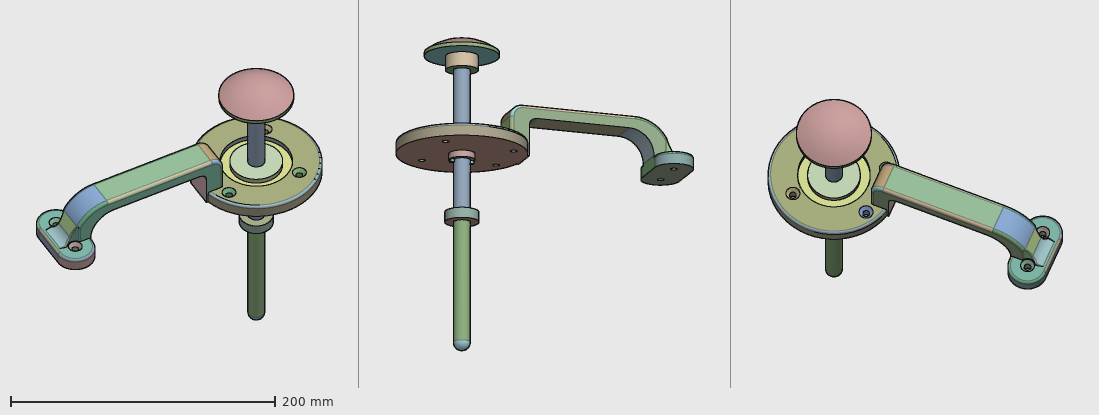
import cadquery as cq
import math

PLATE_THICKNESS = 10.0
PLATE_FILLET = 2.0
FLANGE_RADIUS = 50.0
RECESS_RADIUS = 27.5
RECESS_DEPTH = 4.0

FOOT_WIDTH = 30.0
FOOT_LENGTH = 60.0
FOOT_Y = -165.0
FOOT_HOLE_X = (FOOT_LENGTH - FOOT_WIDTH) / 2

SCREW_DIAMETER = 5.0
SCREW_HEAD_DIAMETER = 10.5
SCREW_HEAD_ANGLE = 90.0
REAR_SCREW_RADIUS = 35.0
REAR_SCREW_ANGLE = 40.0
FRONT_SCREW_RADIUS = 40.0
FRONT_SCREW_ANGLE = 60.0

HEAD_ROOM_RADIUS = 5.9
HEAD_ROOM_FILLET = 1.0

GRIP_WIDTH = 24.6
GRIP_FILLET = 2.5
GRIP_TOP = 40.0
GRIP_THICKNESS = 10.0
POST_THICKNESS = 15.0
POST_OUTER_RADIUS = 10.0
POST_INNER_RADIUS = 6.0
BEND_OUTER_RADIUS = 30.0
BEND_INNER_RADIUS = 20.0
BEND_SWEEP = 60.0
TOE_RADIUS = 11.0

BORDER_FLOOR_MARGIN = 0.1
BORDER_TOE_MARGIN = 1.0
BORDER_TOP_MARGIN = 5.0

BUSH_HEAD_RADIUS = 20.0
BUSH_HEAD_THICKNESS = 4.0
BUSH_HUB_RADIUS = 10.0
BUSH_HUB_DROP = 5.0
KEY_WIDTH = 2.5
KEY_LENGTH = 18.6
KEY_HEIGHT = 2.3

ROD_RADIUS = 6.5
ROD_BOTTOM = -155.3
COLLAR_RADIUS = 13.0
COLLAR_TOP = -46.0
COLLAR_THICKNESS = 8.0
KNOB_TOP = 89.7
KNOB_RADIUS = 28.5
KNOB_DOME_HEIGHT = 9.7
KNOB_RIM_THICKNESS = 3.0
KNOB_HUB_RADIUS = 12.5
KNOB_HUB_HEIGHT = 11.0


def cylinder(radius, bottom, height):
    return cq.Workplane("XY").workplane(offset=bottom).circle(radius).extrude(height)


def make_flange():
    return cylinder(FLANGE_RADIUS, 0, PLATE_THICKNESS).faces(">Z").edges().fillet(PLATE_FILLET)


def make_foot():
    foot = cq.Workplane("XY").center(0, FOOT_Y).slot2D(FOOT_LENGTH, FOOT_WIDTH).extrude(PLATE_THICKNESS)
    return foot.faces(">Z").edges().fillet(PLATE_FILLET)


def arc_middle(center, radius, start_angle, end_angle):
    """Point halfway along an arc given by its center, radius and end angles in degrees."""
    angle = math.radians((start_angle + end_angle) / 2)
    return (center[0] + radius * math.cos(angle), center[1] + radius * math.sin(angle))


def make_grip():
    post_back = -FLANGE_RADIUS + POST_THICKNESS
    post_front = -FLANGE_RADIUS
    leg_back = FOOT_Y + FOOT_WIDTH / 2
    leg_front = leg_back - POST_THICKNESS
    grip_under = GRIP_TOP - GRIP_THICKNESS
    bend_center = (leg_front + BEND_OUTER_RADIUS, GRIP_TOP - BEND_OUTER_RADIUS)
    inner_center = (leg_back + BEND_INNER_RADIUS, grip_under - BEND_INNER_RADIUS)

    sweep = math.radians(BEND_SWEEP)
    bend_end = (
        bend_center[0] - BEND_OUTER_RADIUS * math.sin(sweep),
        bend_center[1] + BEND_OUTER_RADIUS * math.cos(sweep),
    )

    toe_start_z = PLATE_THICKNESS + TOE_RADIUS * (1 - math.cos(sweep))
    toe_start = (bend_end[0] - (bend_end[1] - toe_start_z) / math.tan(sweep), toe_start_z)
    toe_center = (toe_start[0] - TOE_RADIUS * math.sin(sweep), PLATE_THICKNESS + TOE_RADIUS)

    post_corner = (post_back - POST_OUTER_RADIUS, GRIP_TOP - POST_OUTER_RADIUS)
    post_inner_corner = (post_front - POST_INNER_RADIUS, grip_under - POST_INNER_RADIUS)

    profile = (
        cq.Workplane("YZ", origin=(-GRIP_WIDTH / 2, 0, 0))
        .moveTo(post_back, 0)
        .lineTo(post_back, post_corner[1])
        .threePointArc(arc_middle(post_corner, POST_OUTER_RADIUS, 0, 90), (post_corner[0], GRIP_TOP))
        .lineTo(bend_center[0], GRIP_TOP)
        .threePointArc(arc_middle(bend_center, BEND_OUTER_RADIUS, 90, 90 + BEND_SWEEP), bend_end)
        .lineTo(*toe_start)
        .threePointArc(
            arc_middle(toe_center, TOE_RADIUS, 270, 270 + BEND_SWEEP), (toe_center[0], PLATE_THICKNESS)
        )
        .lineTo(toe_center[0], 0)
        .lineTo(leg_back, 0)
        .lineTo(leg_back, inner_center[1])
        .threePointArc(arc_middle(inner_center, BEND_INNER_RADIUS, 180, 90), (inner_center[0], grip_under))
        .lineTo(post_inner_corner[0], grip_under)
        .threePointArc(
            arc_middle(post_inner_corner, POST_INNER_RADIUS, 90, 0), (post_front, post_inner_corner[1])
        )
        .lineTo(post_front, 0)
        .close()
    )
    grip = profile.extrude(GRIP_WIDTH)

    head_room = (
        cq.Workplane("XY")
        .workplane(offset=PLATE_THICKNESS)
        .pushPoints([(-FOOT_HOLE_X, FOOT_Y), (FOOT_HOLE_X, FOOT_Y)])
        .circle(HEAD_ROOM_RADIUS)
        .extrude(GRIP_TOP - PLATE_THICKNESS)
    )
    grip = grip.cut(head_room)

    top_y = (post_corner[0] + bend_center[0]) / 2
    for x in (-GRIP_WIDTH / 2, GRIP_WIDTH / 2):
        grip = grip.edges(cq.NearestToPointSelector((x, top_y, GRIP_TOP))).fillet(GRIP_FILLET)

    border = cq.selectors.BoxSelector(
        (-GRIP_WIDTH, FOOT_Y + HEAD_ROOM_RADIUS, PLATE_THICKNESS + BORDER_FLOOR_MARGIN),
        (GRIP_WIDTH, toe_center[0] - BORDER_TOE_MARGIN, toe_start_z + BORDER_TOP_MARGIN),
    )
    return grip.edges(border).edges("not |X").fillet(HEAD_ROOM_FILLET)


def screw_places():
    """Mirrored pairs of screw positions: two on the rear, two on the front, two in the foot."""
    rear = math.radians(REAR_SCREW_ANGLE)
    front = math.radians(FRONT_SCREW_ANGLE)
    half = [
        (REAR_SCREW_RADIUS * math.cos(rear), REAR_SCREW_RADIUS * math.sin(rear)),
        (FRONT_SCREW_RADIUS * math.cos(front), -FRONT_SCREW_RADIUS * math.sin(front)),
        (FOOT_HOLE_X, FOOT_Y),
    ]
    return [(side * x, y) for x, y in half for side in (-1, 1)]


def make_screw_space():
    """Through hole with a countersink at the top, on the Z axis."""
    hole_radius = SCREW_DIAMETER / 2
    head_radius = SCREW_HEAD_DIAMETER / 2
    sink_depth = (head_radius - hole_radius) / math.tan(math.radians(SCREW_HEAD_ANGLE / 2))
    sink_bottom = PLATE_THICKNESS - sink_depth
    return (
        cq.Workplane("XZ")
        .polyline(
            [
                (0, 0),
                (hole_radius, 0),
                (hole_radius, sink_bottom),
                (head_radius, PLATE_THICKNESS),
                (0, PLATE_THICKNESS),
            ]
        )
        .close()
        .revolve(360, (0, 0, 0), (0, 1, 0))
    )


def make_handle():
    handle = make_flange().union(make_foot()).union(make_grip())
    handle = handle.cut(cylinder(RECESS_RADIUS, PLATE_THICKNESS - RECESS_DEPTH, RECESS_DEPTH))
    handle = handle.cut(cylinder(BUSH_HUB_RADIUS, 0, PLATE_THICKNESS))
    for x, y in screw_places():
        handle = handle.cut(make_screw_space().translate((x, y, 0)))
    return handle


def make_bush():
    head_bottom = PLATE_THICKNESS - RECESS_DEPTH
    key = cq.Workplane("XY").workplane(offset=-BUSH_HUB_DROP).rect(KEY_WIDTH, KEY_LENGTH).extrude(-KEY_HEIGHT)
    return (
        cylinder(BUSH_HEAD_RADIUS, head_bottom, BUSH_HEAD_THICKNESS)
        .union(cylinder(BUSH_HUB_RADIUS, -BUSH_HUB_DROP, BUSH_HUB_DROP + head_bottom))
        .union(key)
        .cut(cylinder(ROD_RADIUS, ROD_BOTTOM, KNOB_TOP - ROD_BOTTOM))
    )


def make_plunger():
    rim_top = KNOB_TOP - KNOB_DOME_HEIGHT
    rim_bottom = rim_top - KNOB_RIM_THICKNESS
    hub_bottom = rim_bottom - KNOB_HUB_HEIGHT
    dome_radius = (KNOB_RADIUS**2 + KNOB_DOME_HEIGHT**2) / (2 * KNOB_DOME_HEIGHT)
    dome_middle_x = KNOB_RADIUS / 2
    dome_middle_z = KNOB_TOP - dome_radius + math.sqrt(dome_radius**2 - dome_middle_x**2)
    tip_center = (0, ROD_BOTTOM + ROD_RADIUS)
    collar_bottom = COLLAR_TOP - COLLAR_THICKNESS
    return (
        cq.Workplane("XZ")
        .moveTo(0, ROD_BOTTOM)
        .threePointArc(arc_middle(tip_center, ROD_RADIUS, -90, 0), (ROD_RADIUS, tip_center[1]))
        .lineTo(ROD_RADIUS, collar_bottom)
        .lineTo(COLLAR_RADIUS, collar_bottom)
        .lineTo(COLLAR_RADIUS, COLLAR_TOP)
        .lineTo(ROD_RADIUS, COLLAR_TOP)
        .lineTo(ROD_RADIUS, hub_bottom)
        .lineTo(KNOB_HUB_RADIUS, hub_bottom)
        .lineTo(KNOB_HUB_RADIUS, rim_bottom)
        .lineTo(KNOB_RADIUS, rim_bottom)
        .lineTo(KNOB_RADIUS, rim_top)
        .threePointArc((dome_middle_x, dome_middle_z), (0, KNOB_TOP))
        .close()
        .revolve(360, (0, 0, 0), (0, 1, 0))
    )


handle = make_handle()
bush = make_bush()
plunger = make_plunger()

result = cq.Compound.makeCompound([handle.val(), bush.val(), plunger.val()])